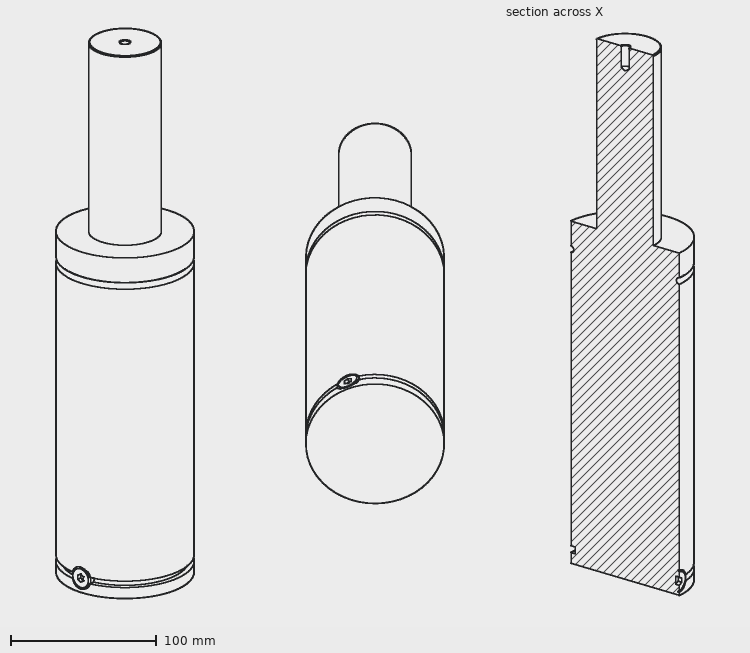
import cadquery as cq

total_height = 395.0
body_diameter = 95.0
body_height = 254.0
rod_diameter = 50.0
rod_edge_chamfer = 0.8

base_groove_bottom = 8.3
base_groove_width = 4.7
base_groove_depth = 4.0

head_groove_center = 233.0
head_groove_radius = 2.5

rod_hole_diameter = 6.7
rod_hole_mouth_diameter = 8.0
rod_hole_depth = 15.8
drill_tip_height = 2.0

plug_height = 10.5
plug_diameter = 16.0
plug_face_diameter = 14.0
plug_length = 6.0
socket_corner_diameter = 6.0
socket_depth = 3.0
socket_sides = 6

body_radius = body_diameter / 2
rod_length = total_height - body_height


def make_body():
    """Cylinder body with the rod standing on its top face."""
    body = cq.Workplane("XY").circle(body_radius).extrude(body_height)
    rod = (
        cq.Workplane("XY", origin=(0, 0, body_height))
        .circle(rod_diameter / 2)
        .extrude(rod_length)
        .faces(">Z")
        .chamfer(rod_edge_chamfer)
    )
    return body.union(rod)


def make_base_groove():
    """Square-section ring cut around the base."""
    return (
        cq.Workplane("XY", origin=(0, 0, base_groove_bottom))
        .circle(body_diameter)
        .circle(body_radius - base_groove_depth)
        .extrude(base_groove_width)
    )


def make_head_groove():
    """Ring of circular section centred on the body surface."""
    return (
        cq.Workplane("XZ")
        .center(body_radius, head_groove_center)
        .circle(head_groove_radius)
        .revolve(360, (-body_radius, 0), (-body_radius, 1))
    )


def make_rod_hole():
    """Blind hole with a chamfered mouth and a conical drill tip, on the rod axis."""
    radius = rod_hole_diameter / 2
    mouth_radius = rod_hole_mouth_diameter / 2
    floor = total_height - rod_hole_depth
    return (
        cq.Workplane("XZ")
        .moveTo(0, total_height)
        .lineTo(mouth_radius, total_height)
        .lineTo(radius, total_height - (mouth_radius - radius))
        .lineTo(radius, floor)
        .lineTo(0, floor - drill_tip_height)
        .close()
        .revolve(360, (0, 0), (0, 1))
    )


def plug_plane():
    """Plane touching the body at the plug, with its normal pointing out along -Y."""
    return cq.Workplane("XZ", origin=(0, -body_radius, plug_height))


def make_plug():
    """Round plug flush with the body, its outer edge chamfered."""
    edge_chamfer = (plug_diameter - plug_face_diameter) / 2
    return (
        plug_plane()
        .circle(plug_diameter / 2)
        .extrude(-plug_length)
        .faces("<Y")
        .chamfer(edge_chamfer)
    )


def make_plug_seat():
    """Round pocket in the body that takes the plug."""
    return plug_plane().circle(plug_diameter / 2).extrude(-plug_length)


def make_socket():
    """Hexagonal key socket in the plug face, one corner pointing up."""
    return (
        plug_plane()
        .transformed(rotate=(0, 0, 90))
        .polygon(socket_sides, socket_corner_diameter)
        .extrude(-socket_depth)
    )


result = (
    make_body()
    .cut(make_base_groove())
    .cut(make_head_groove())
    .cut(make_rod_hole())
    .cut(make_plug_seat())
    .union(make_plug())
    .cut(make_socket())
)